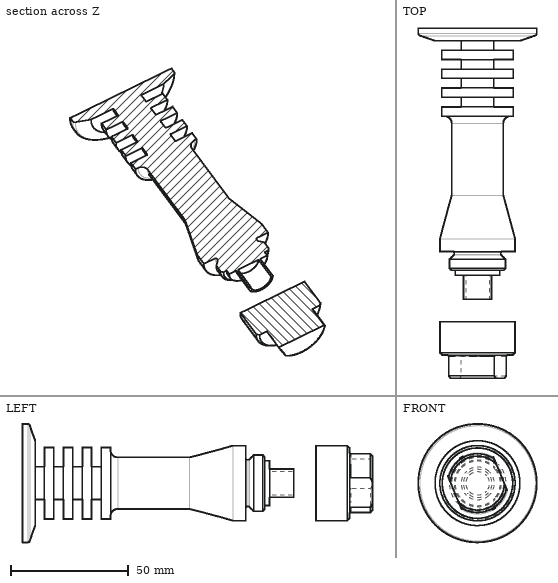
import cadquery as cq
import math

overall_length = 148.9

disc_dia = 50.5
disc_length = 5.5
disc_rim_length = 3.0
disc_cone_angle = 19.4
disc_edge_fillet = 1.0

neck_dia = 14.0
fin_dia = 30.5
fin_length = 4.0
fin_pitch = 8.0
fin_count = 4
first_fin_start = 9.4

grip_dia = 22.0
grip_fillet = 3.0
grip_end = 71.0
collar_dia = 32.0
collar_start = 89.5
collar_end = 95.0

groove_dia = 20.0
groove_width = 1.3
groove_fillet = 0.4
bead_dia = 24.0
bead_end = 103.0
bead_chamfer = 0.9
step_dia = 19.0
step_end = 105.1
pin_dia = 12.0
pin_end = 115.4
pin_hole_dia = 10.0
pin_hole_depth = 10.3

cap_dia = collar_dia
cap_start = 124.8
cap_length = 14.3
cap_chamfer = 1.0
head_dia = 25.0
head_chamfer = 1.0
head_base_fillet = 0.5
flat_spacing = 21.0
flat_angle = 22.5


def station(distance):
    """Y coordinate of a distance from the disc face."""
    return overall_length - distance


def cylinder(diameter, start, end):
    """Cylinder about the Y axis between two stations."""
    return cq.Workplane("XZ", origin=(0, station(start), 0)).circle(diameter / 2).extrude(end - start)


def revolve_profile(points):
    """Solid of revolution about Y from (radius, station) points."""
    outline = [(radius, station(distance)) for radius, distance in points]
    return cq.Workplane("XY").polyline(outline).close().revolve(360, (0, 0, 0), (0, 1, 0))


def circle_edge_at(radius, distance):
    """Selector for the circular edge of a given radius at a station."""
    margin = 0.07
    y = station(distance)
    return cq.selectors.BoxSelector(
        (-radius - margin, y - margin, -radius - margin),
        (radius + margin, y + margin, radius + margin),
        boundingbox=True,
    )


def make_disc():
    rim_radius = disc_dia / 2
    cone_length = disc_length - disc_rim_length
    face_radius = rim_radius - cone_length / math.tan(math.radians(disc_cone_angle))
    disc = revolve_profile([
        (0, 0),
        (rim_radius, 0),
        (rim_radius, disc_rim_length),
        (face_radius, disc_length),
        (0, disc_length),
    ])
    return disc.edges(circle_edge_at(rim_radius, disc_rim_length)).fillet(disc_edge_fillet)


def make_shaft(last_fin_start, grip_start):
    """Everything from the last fin to the pin, without the other fins."""
    groove_end = collar_end + groove_width
    bead_start = groove_end + (bead_dia - groove_dia) / 2
    shaft = revolve_profile([
        (0, last_fin_start),
        (fin_dia / 2, last_fin_start),
        (fin_dia / 2, grip_start),
        (grip_dia / 2, grip_start),
        (grip_dia / 2, grip_end),
        (collar_dia / 2, collar_start),
        (collar_dia / 2, collar_end),
        (groove_dia / 2, collar_end),
        (groove_dia / 2, groove_end),
        (bead_dia / 2, bead_start),
        (bead_dia / 2, bead_end - bead_chamfer),
        (bead_dia / 2 - bead_chamfer, bead_end),
        (step_dia / 2, bead_end),
        (step_dia / 2, step_end),
        (pin_dia / 2, step_end),
        (pin_dia / 2, pin_end),
        (0, pin_end),
    ])
    shaft = shaft.edges(circle_edge_at(grip_dia / 2, grip_start)).fillet(grip_fillet)
    for groove_side in (collar_end, groove_end):
        shaft = shaft.edges(circle_edge_at(groove_dia / 2, groove_side)).fillet(groove_fillet)
    return shaft.cut(cylinder(pin_hole_dia, pin_end - pin_hole_depth, pin_end))


def make_handle():
    last_fin_start = first_fin_start + (fin_count - 1) * fin_pitch
    handle = make_shaft(last_fin_start, last_fin_start + fin_length)
    handle = handle.union(cylinder(neck_dia, disc_length, last_fin_start))
    for index in range(fin_count - 1):
        fin_start = first_fin_start + index * fin_pitch
        handle = handle.union(cylinder(fin_dia, fin_start, fin_start + fin_length))
    return handle.union(make_disc())


def make_cap():
    cap_end = cap_start + cap_length
    head_length = overall_length - cap_end
    body = cylinder(cap_dia, cap_start, cap_end).faces("<Y").chamfer(cap_chamfer)

    head = cylinder(head_dia, cap_end, overall_length).faces("<Y").chamfer(head_chamfer)
    flare_radius = head_dia / 2 + head_base_fillet
    flare_end = cap_end + head_base_fillet
    fillet_ring = (
        cylinder(2 * flare_radius, cap_end, flare_end)
        .cut(cq.Workplane("XY").add(cq.Solid.makeTorus(
            flare_radius, head_base_fillet, cq.Vector(0, station(flare_end), 0), cq.Vector(0, 1, 0))))
    )
    across_flats = (
        cq.Workplane("XY")
        .box(flat_spacing, head_length, cap_dia)
        .rotate((0, 0, 0), (0, 1, 0), -flat_angle)
        .translate((0, head_length / 2, 0))
    )
    return body.union(head.union(fillet_ring).intersect(across_flats))


handle = make_handle()
cap = make_cap()
result = cq.Compound.makeCompound([handle.val(), cap.val()])